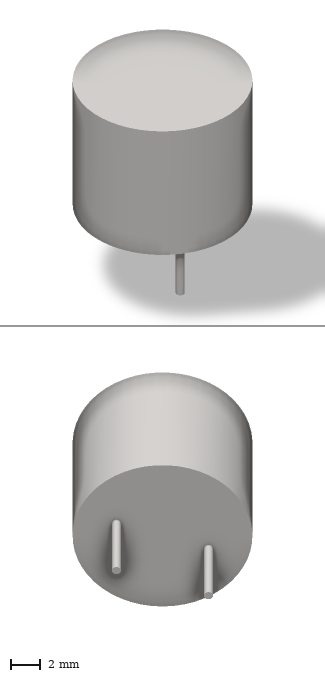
import cadquery as cq

can_diameter = 12.0
can_height = 10.0

lead_diameter = 0.6
lead_length = 5.1
lead_pitch = 6.5


def make_can():
    """Plain cylinder centred on the Z axis."""
    return cq.Workplane("XY").circle(can_diameter / 2).extrude(can_height)


def make_lead(x_position):
    """Round lead hanging from the underside of the can."""
    return cq.Workplane("XY").center(x_position, 0).circle(lead_diameter / 2).extrude(-lead_length)


can = make_can()
leads = [make_lead(side * lead_pitch / 2) for side in (-1, 1)]

result = cq.Compound.makeCompound([can.val(), *[lead.val() for lead in leads]])